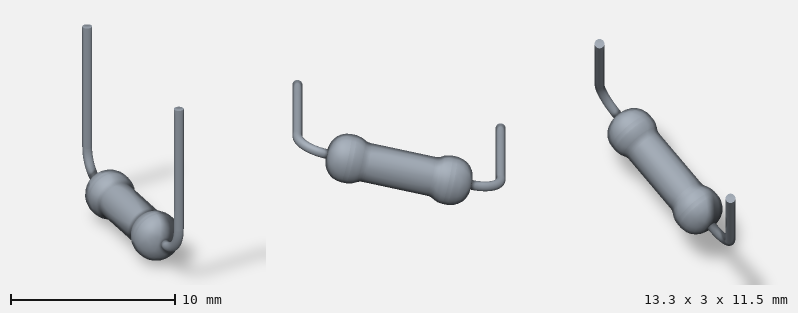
import cadquery as cq


overall_length = 13.3
wire_diameter = 0.6
wire_radius = wire_diameter / 2
lead_x = overall_length / 2 - wire_radius
lead_top_z = 10.0

body_half_length = 4.51
bulb_radius = 1.5
neck_radius = 1.21
crest_inner_x = 3.0
inflection_x = 2.42
neck_end_x = 2.01

cap_radius = bulb_radius - wire_radius
crest_outer_x = body_half_length - cap_radius

bend_radius = lead_x - body_half_length

inflection_share = (inflection_x - neck_end_x) / (crest_inner_x - neck_end_x)
inflection_radius = neck_radius + (bulb_radius - neck_radius) * inflection_share


def make_body():
    """Revolve the symmetric dog-bone profile, bored along its axis for the wire."""
    profile = (
        cq.Workplane("XY")
        .moveTo(-body_half_length, wire_radius)
        .radiusArc((-crest_outer_x, bulb_radius), cap_radius)
        .lineTo(-crest_inner_x, bulb_radius)
        .tangentArcPoint((-inflection_x, inflection_radius), relative=False)
        .tangentArcPoint((-neck_end_x, neck_radius), relative=False)
        .lineTo(neck_end_x, neck_radius)
        .tangentArcPoint((inflection_x, inflection_radius), relative=False)
        .tangentArcPoint((crest_inner_x, bulb_radius), relative=False)
        .lineTo(crest_outer_x, bulb_radius)
        .tangentArcPoint((body_half_length, wire_radius), relative=False)
        .close()
    )
    return profile.revolve(360, (0, 0, 0), (1, 0, 0))


def make_wire():
    """Sweep one continuous round wire down a lead, through the body and up the other lead."""
    path = (
        cq.Workplane("XZ")
        .moveTo(-lead_x, lead_top_z)
        .lineTo(-lead_x, bend_radius)
        .tangentArcPoint((-body_half_length, 0), relative=False)
        .lineTo(body_half_length, 0)
        .tangentArcPoint((lead_x, bend_radius), relative=False)
        .lineTo(lead_x, lead_top_z)
    )
    section = cq.Workplane("XY", origin=(-lead_x, 0, lead_top_z)).circle(wire_radius)
    return section.sweep(path)


body = make_body()
wire = make_wire()

result = cq.Compound.makeCompound([body.val(), wire.val()])